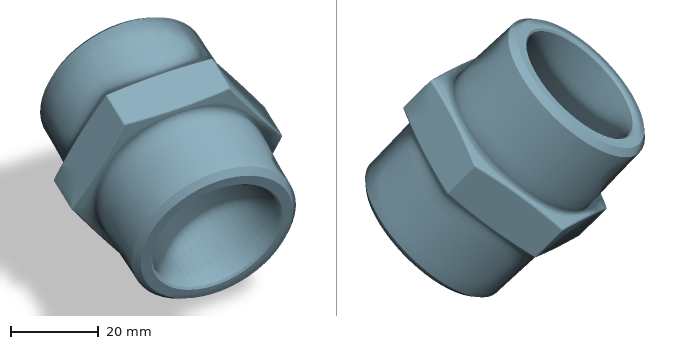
import cadquery as cq
import math

LENGTH = 53.0
BORE_DIAMETER = 32.0
BORE_CHAMFER = 0.5

SHANK_DIAMETER = 42.15
TAPER_START = 10.0
TAPER_RATIO = 1 / 16
END_CHAMFER = 1.5

ACROSS_FLATS = 46.0
CORNER_FILLET = 0.5
COLLAR_ROOT_HALF_WIDTH = 6.0
COLLAR_FACE_ANGLE = 10.0
COLLAR_EDGE_FILLET = 0.5
ROOT_FILLET = 0.6

SELECTION_SLACK = 0.05

half_length = LENGTH / 2
shank_radius = SHANK_DIAMETER / 2
bore_radius = BORE_DIAMETER / 2


def revolve_about_x(points):
    """Solid of revolution from (x, radius) points of a closed half profile."""
    return cq.Workplane("XZ").polyline(points).close().revolve(360, (0, 0, 0), (1, 0, 0))


def make_collar():
    """Hexagon with flats at top and bottom, its side faces trimmed to cones."""
    across_corners = ACROSS_FLATS / math.cos(math.radians(30))
    hexagon = (
        cq.Workplane("YZ")
        .polygon(6, across_corners)
        .extrude(COLLAR_ROOT_HALF_WIDTH, both=True)
        .edges("|X")
        .fillet(CORNER_FILLET)
    )
    rim_radius = across_corners / 2
    rim_half_width = COLLAR_ROOT_HALF_WIDTH - (rim_radius - shank_radius) * math.tan(
        math.radians(COLLAR_FACE_ANGLE)
    )
    double_cone = revolve_about_x([
        (-COLLAR_ROOT_HALF_WIDTH, 0),
        (-COLLAR_ROOT_HALF_WIDTH, shank_radius),
        (-rim_half_width, rim_radius),
        (rim_half_width, rim_radius),
        (COLLAR_ROOT_HALF_WIDTH, shank_radius),
        (COLLAR_ROOT_HALF_WIDTH, 0),
    ])
    collar = hexagon.intersect(double_cone)
    return collar.edges("%HYPERBOLA").fillet(COLLAR_EDGE_FILLET)


def make_shank():
    """Both tapered ends as one solid bar."""
    taper_end = half_length - END_CHAMFER
    taper_end_radius = shank_radius - (taper_end - TAPER_START) * TAPER_RATIO / 2
    right_side = [
        (TAPER_START, shank_radius),
        (taper_end, taper_end_radius),
        (half_length, taper_end_radius - END_CHAMFER),
        (half_length, 0),
    ]
    left_side = [(-x, radius) for x, radius in reversed(right_side)]
    return revolve_about_x(left_side + right_side)


def make_bore():
    """Through hole, widened by a chamfer at both mouths."""
    mouth_radius = bore_radius + BORE_CHAMFER
    return revolve_about_x([
        (-half_length, 0),
        (-half_length, mouth_radius),
        (-half_length + BORE_CHAMFER, bore_radius),
        (half_length - BORE_CHAMFER, bore_radius),
        (half_length, mouth_radius),
        (half_length, 0),
    ])


body = make_shank().union(make_collar())

zone_x = COLLAR_ROOT_HALF_WIDTH + SELECTION_SLACK
root_zone = cq.selectors.BoxSelector(
    (-zone_x, -SELECTION_SLACK, -SELECTION_SLACK),
    (zone_x, SELECTION_SLACK, SELECTION_SLACK),
)
body = body.edges("%CIRCLE").edges(root_zone).fillet(ROOT_FILLET)

result = body.cut(make_bore())